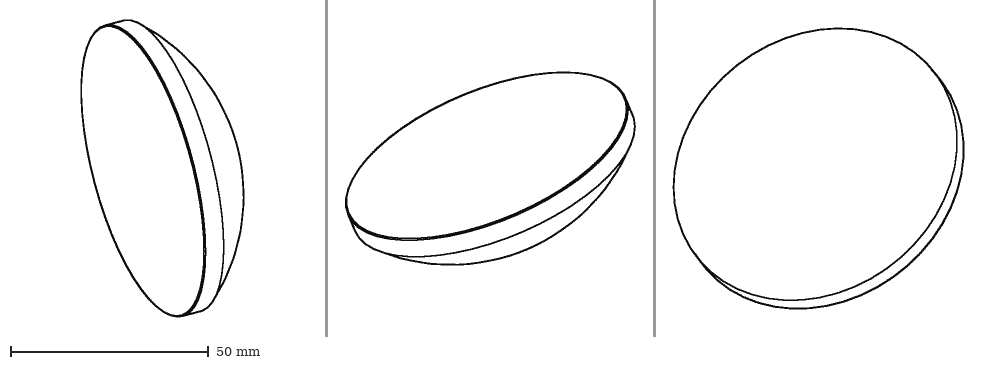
import cadquery as cq

diameter = 76.2
thickness = 23.3
rim_height = 5.3
chamfer = 0.3

radius = diameter / 2
dome_height = thickness - rim_height
sphere_radius = (radius**2 + dome_height**2) / (2 * dome_height)
sphere_center_y = thickness - sphere_radius

arc_mid_x = radius / 2
arc_mid_y = sphere_center_y + (sphere_radius**2 - arc_mid_x**2) ** 0.5

profile = (
    cq.Workplane("XY")
    .lineTo(radius - chamfer, 0)
    .lineTo(radius, chamfer)
    .lineTo(radius, rim_height)
    .threePointArc((arc_mid_x, arc_mid_y), (0, thickness))
    .close()
)
result = profile.revolve(360, (0, 0, 0), (0, 1, 0))